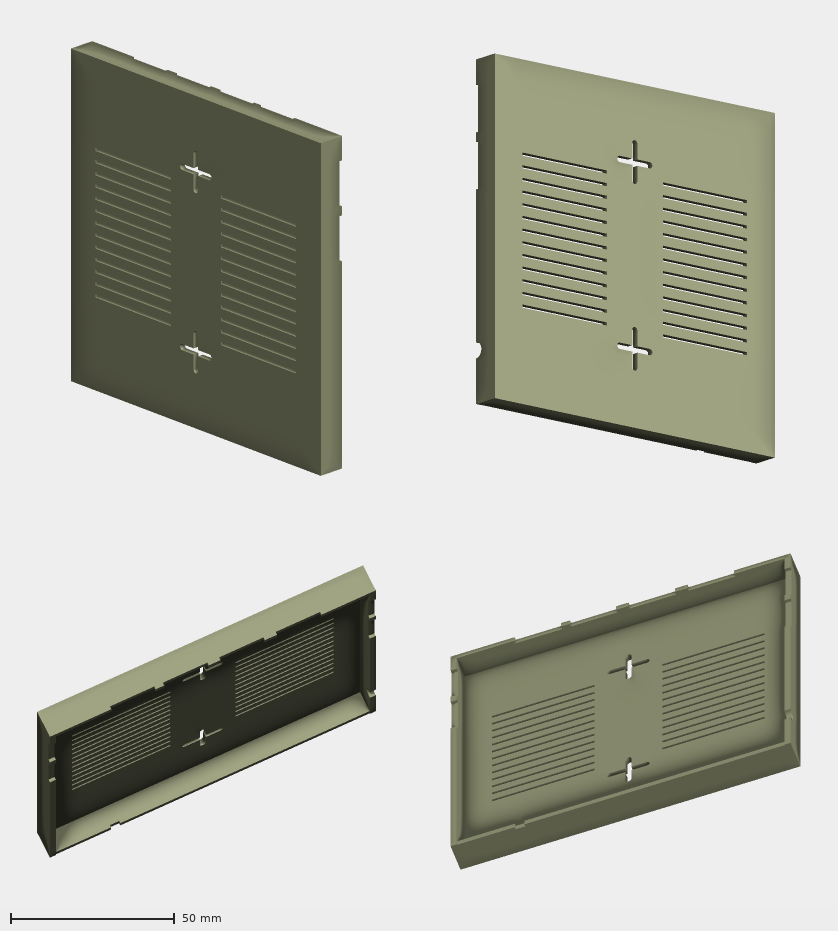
import cadquery as cq

WIDTH = 110.14
DEPTH = 9.0
HEIGHT = 108.87
PANEL_THICKNESS = 2.0
WALL_THICKNESS = 2.0
FRONT_Y = -DEPTH / 2
BACK_Y = DEPTH / 2
OVERLAP = 1.0

SLIT_COUNT = 13
SLIT_PITCH = 4.0
SLIT_LENGTH = 33.2
SLIT_HEIGHT = 1.0
SLIT_COLUMN_X = 27.6
SLIT_CENTRE_Z = 0.5

CROSS_SPAN = 13.8
CROSS_ARM_WIDTH = 2.0
CROSS_Z = 29.5

NOTCH_DEPTH = 1.0
NOTCH_LENGTH = 15.0
TOP_NOTCH_X = (-29.2, -10.1, 8.9, 26.8)
SIDE_NOTCH_Z = (38.9, 20.9)

CABLE_NOTCH_RADIUS = 2.5
CABLE_NOTCH_Z = -37.5

BOTTOM_RIM_DROP = 0.2
BOTTOM_GAP_START_X = 31.2
BOTTOM_GAP_END_X = TOP_NOTCH_X[-1] + NOTCH_LENGTH / 2


def centred_box(size_x, size_y, size_z, centre):
    return cq.Workplane("XY").box(size_x, size_y, size_z).translate(centre)


def rim_cutter(size_x, size_z, depth, x, z):
    """Box that removes the last `depth` of the back rim around (x, z)."""
    centre_y = BACK_Y + (OVERLAP - depth) / 2
    return centred_box(size_x, depth + OVERLAP, size_z, (x, centre_y, z))


def make_shell():
    cavity_depth = DEPTH - PANEL_THICKNESS
    cavity = centred_box(
        WIDTH - 2 * WALL_THICKNESS,
        cavity_depth,
        HEIGHT - 2 * WALL_THICKNESS,
        (0, BACK_Y - cavity_depth / 2, 0),
    )
    return centred_box(WIDTH, DEPTH, HEIGHT, (0, 0, 0)).cut(cavity)


def front_face_plane():
    """Plane on the front face whose local axes are +X and +Z; extrude negative to cut inward."""
    return cq.Workplane("XZ", origin=(0, FRONT_Y, 0))


def cut_slits(part):
    first_z = SLIT_CENTRE_Z - SLIT_PITCH * (SLIT_COUNT - 1) / 2
    centres = [
        (x, first_z + row * SLIT_PITCH)
        for x in (-SLIT_COLUMN_X, SLIT_COLUMN_X)
        for row in range(SLIT_COUNT)
    ]
    slits = front_face_plane().pushPoints(centres).rect(SLIT_LENGTH, SLIT_HEIGHT)
    return part.cut(slits.extrude(-PANEL_THICKNESS))


def cut_crosses(part):
    centres = [(0, -CROSS_Z), (0, CROSS_Z)]
    for angle in (0, 90):
        arms = front_face_plane().pushPoints(centres).slot2D(CROSS_SPAN, CROSS_ARM_WIDTH, angle)
        part = part.cut(arms.extrude(-PANEL_THICKNESS))
    return part


def cut_rim_notches(part):
    wall_cut = 2 * WALL_THICKNESS
    for x in TOP_NOTCH_X:
        part = part.cut(rim_cutter(NOTCH_LENGTH, wall_cut, NOTCH_DEPTH, x, HEIGHT / 2))
    for z in SIDE_NOTCH_Z:
        for x in (-WIDTH / 2, WIDTH / 2):
            part = part.cut(rim_cutter(wall_cut, NOTCH_LENGTH, NOTCH_DEPTH, x, z))
    return part


def cut_cable_notch(part):
    cutter = (
        cq.Workplane("YZ", origin=(-WIDTH / 2, BACK_Y, CABLE_NOTCH_Z))
        .circle(CABLE_NOTCH_RADIUS)
        .extrude(WALL_THICKNESS)
    )
    return part.cut(cutter)


def lower_bottom_rim(part):
    wall_z = (WALL_THICKNESS - HEIGHT) / 2
    inner_width = WIDTH - 2 * WALL_THICKNESS
    part = part.cut(rim_cutter(inner_width, WALL_THICKNESS, BOTTOM_RIM_DROP, 0, wall_z))
    gap_length = BOTTOM_GAP_END_X - BOTTOM_GAP_START_X
    gap_x = (BOTTOM_GAP_START_X + BOTTOM_GAP_END_X) / 2
    return part.cut(rim_cutter(gap_length, WALL_THICKNESS, NOTCH_DEPTH, gap_x, wall_z))


result = make_shell()
result = cut_slits(result)
result = cut_crosses(result)
result = cut_rim_notches(result)
result = cut_cable_notch(result)
result = lower_bottom_rim(result)